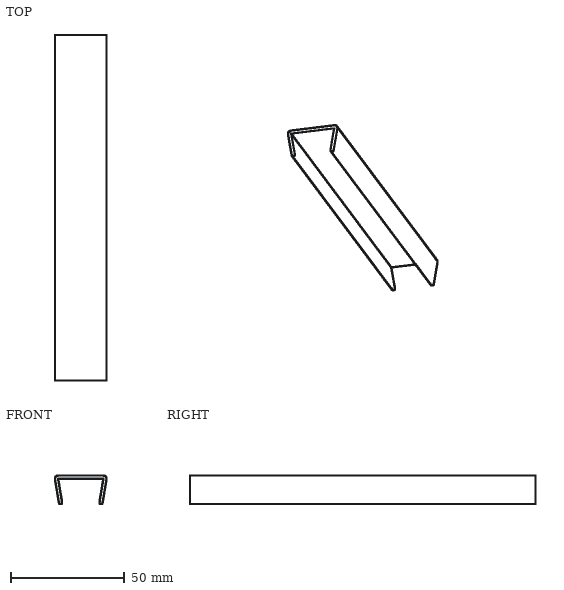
import cadquery as cq
import math

length = 152.4
width = 22.9
height = 12.6

wall = 1.5
corner_radius = 1.5
lean_angle = 9.5
tip_radius = wall / 2

lean = math.radians(lean_angle)
half_width = width / 2
top = height / 2

outward = (math.cos(lean), -math.sin(lean))
downward = (-math.sin(lean), -math.cos(lean))


def shifted(point, direction, distance):
    """Move a section point along a direction."""
    return (point[0] + distance * direction[0], point[1] + distance * direction[1])


def mirrored(point):
    """Matching section point on the left-hand leg."""
    return (-point[0], point[1])


corner_center = (half_width - corner_radius, top - corner_radius)
corner_start = (corner_center[0], top)
corner_middle = (half_width, corner_center[1])
corner_end = shifted(corner_center, outward, corner_radius)

leg_middle = shifted(corner_end, outward, -wall / 2)
tip_height = -top + tip_radius
tip_center = shifted(leg_middle, downward, (leg_middle[1] - tip_height) / math.cos(lean))
tip_outer = shifted(tip_center, outward, tip_radius)
tip_bottom = shifted(tip_center, downward, tip_radius)
tip_inner = shifted(tip_center, outward, -tip_radius)

web_underside = top - wall
inner_corner = shifted(tip_inner, downward, -(web_underside - tip_inner[1]) / math.cos(lean))

section = (
    cq.Workplane("XZ")
    .moveTo(*mirrored(corner_start))
    .lineTo(*corner_start)
    .threePointArc(corner_middle, corner_end)
    .lineTo(*tip_outer)
    .threePointArc(tip_bottom, tip_inner)
    .lineTo(*inner_corner)
    .lineTo(*mirrored(inner_corner))
    .lineTo(*mirrored(tip_inner))
    .threePointArc(mirrored(tip_bottom), mirrored(tip_outer))
    .lineTo(*mirrored(corner_end))
    .threePointArc(mirrored(corner_middle), mirrored(corner_start))
    .close()
)

result = section.extrude(length / 2, both=True)